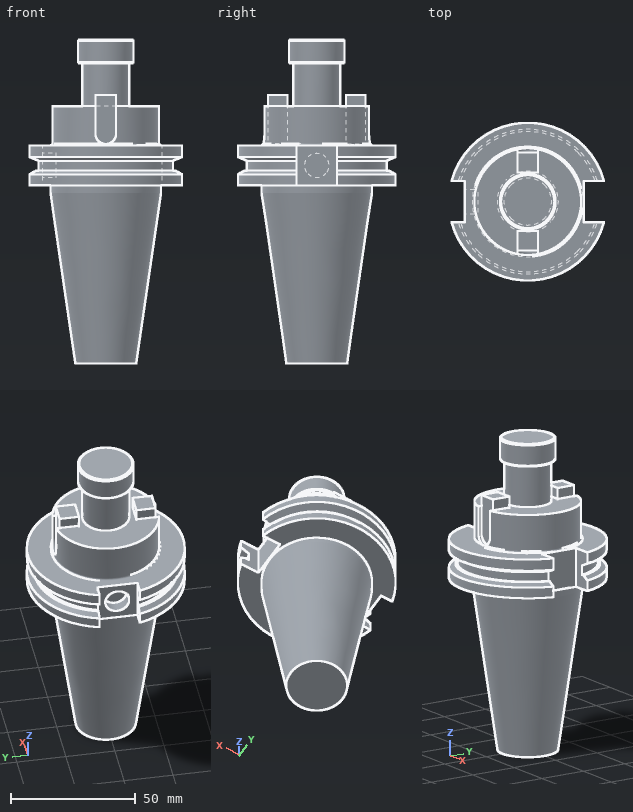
import cadquery as cq

TAPER_RATIO = 7 / 24
TAPER_LENGTH = 68.3
COLLAR_DIAMETER = 44.4
COLLAR_RADIUS = COLLAR_DIAMETER / 2
TAPER_TIP_RADIUS = COLLAR_RADIUS - TAPER_RATIO * TAPER_LENGTH / 2

FLANGE_BOTTOM = 71.5
FLANGE_TOP = 87.5
FLANGE_RADIUS = 31.7
GROOVE_RADIUS = 28.2
GROOVE_BOTTOM = 75.9
GROOVE_TOP = 82.9
GROOVE_SLOPE_HEIGHT = 1.5
GROOVE_LEDGE_WIDTH = 0.9

DRIVE_SLOT_WIDTH = 16.4
DRIVE_FACE_LEFT = -25.3
DRIVE_FACE_RIGHT = 22.5
FLANGE_MIDDLE = (FLANGE_BOTTOM + FLANGE_TOP) / 2
DIMPLE_DIAMETER = 9.7
DIMPLE_DEPTH = 5.5

BOSS_RADIUS = 21.4
BOSS_TOP = 103.3
BOSS_FILLET = 0.6
SPIGOT_RADIUS = 9.5

OVERALL_HEIGHT = 129.9
HEAD_RADIUS = 11.2
HEAD_BOTTOM = 120.4
HEAD_CHAMFER = 0.5

KEY_WIDTH = 8.3
KEY_BOTTOM = 88.1
KEY_TOP = 107.8
KEY_INNER_FACE = 11.7
KEY_OUTER_FACE = 19.6
KEYWAY_END = BOSS_RADIUS + 2 * BOSS_FILLET
KEY_ANGLES = (0, 180)


def make_key_shape(outer_face):
    """Upright bar with a semicircular lower end, reaching from the inner face out along -Y."""
    half_width = KEY_WIDTH / 2
    arc_height = KEY_BOTTOM + half_width
    return (
        cq.Workplane("XZ", origin=(0, -KEY_INNER_FACE, 0))
        .moveTo(-half_width, KEY_TOP)
        .lineTo(-half_width, arc_height)
        .threePointArc((0, KEY_BOTTOM), (half_width, arc_height))
        .lineTo(half_width, KEY_TOP)
        .close()
        .extrude(outer_face - KEY_INNER_FACE)
    )


def turn_about_axis(body, angle):
    return body.rotate((0, 0, 0), (0, 0, 1), angle)


def make_turned_blank():
    """Taper, grooved flange, boss and spigot, as one revolved profile."""
    fillet_offset = BOSS_FILLET * (1 - 0.5**0.5)
    return (
        cq.Workplane("XZ")
        .lineTo(TAPER_TIP_RADIUS, 0)
        .lineTo(COLLAR_RADIUS, TAPER_LENGTH)
        .lineTo(COLLAR_RADIUS, FLANGE_BOTTOM)
        .lineTo(FLANGE_RADIUS, FLANGE_BOTTOM)
        .lineTo(FLANGE_RADIUS, GROOVE_BOTTOM)
        .lineTo(GROOVE_RADIUS + GROOVE_LEDGE_WIDTH, GROOVE_BOTTOM + GROOVE_SLOPE_HEIGHT)
        .lineTo(GROOVE_RADIUS, GROOVE_BOTTOM + GROOVE_SLOPE_HEIGHT)
        .lineTo(GROOVE_RADIUS, GROOVE_TOP - GROOVE_SLOPE_HEIGHT)
        .lineTo(FLANGE_RADIUS, GROOVE_TOP)
        .lineTo(FLANGE_RADIUS, FLANGE_TOP)
        .lineTo(BOSS_RADIUS + BOSS_FILLET, FLANGE_TOP)
        .threePointArc(
            (BOSS_RADIUS + fillet_offset, FLANGE_TOP + fillet_offset),
            (BOSS_RADIUS, FLANGE_TOP + BOSS_FILLET),
        )
        .lineTo(BOSS_RADIUS, BOSS_TOP)
        .lineTo(SPIGOT_RADIUS, BOSS_TOP)
        .lineTo(SPIGOT_RADIUS, HEAD_BOTTOM)
        .lineTo(0, HEAD_BOTTOM)
        .close()
        .revolve(360, (0, 0, 0), (0, 1, 0))
    )


def make_drive_slot(face_x, edge_x):
    """Block that removes the flange between a slot face and the flange edge."""
    return cq.Workplane("XY", origin=((face_x + edge_x) / 2, 0, FLANGE_MIDDLE)).box(
        abs(edge_x - face_x), DRIVE_SLOT_WIDTH, FLANGE_TOP - FLANGE_BOTTOM
    )


def make_holder():
    holder = make_turned_blank()
    holder = holder.cut(make_drive_slot(DRIVE_FACE_LEFT, -FLANGE_RADIUS))
    holder = holder.cut(make_drive_slot(DRIVE_FACE_RIGHT, FLANGE_RADIUS))

    dimple = (
        cq.Workplane("YZ", origin=(DRIVE_FACE_LEFT, 0, FLANGE_MIDDLE))
        .circle(DIMPLE_DIAMETER / 2)
        .extrude(DIMPLE_DEPTH)
    )
    holder = holder.cut(dimple)

    keyway = make_key_shape(KEYWAY_END)
    for angle in KEY_ANGLES:
        holder = holder.cut(turn_about_axis(keyway, angle))
    return holder


def make_screw_head():
    return (
        cq.Workplane("XY", origin=(0, 0, HEAD_BOTTOM))
        .circle(HEAD_RADIUS)
        .extrude(OVERALL_HEIGHT - HEAD_BOTTOM)
        .faces("<Z or >Z")
        .chamfer(HEAD_CHAMFER)
    )


holder = make_holder()
screw_head = make_screw_head()
keys = [turn_about_axis(make_key_shape(KEY_OUTER_FACE), angle) for angle in KEY_ANGLES]

result = cq.Compound.makeCompound([holder.val(), screw_head.val(), *[key.val() for key in keys]])